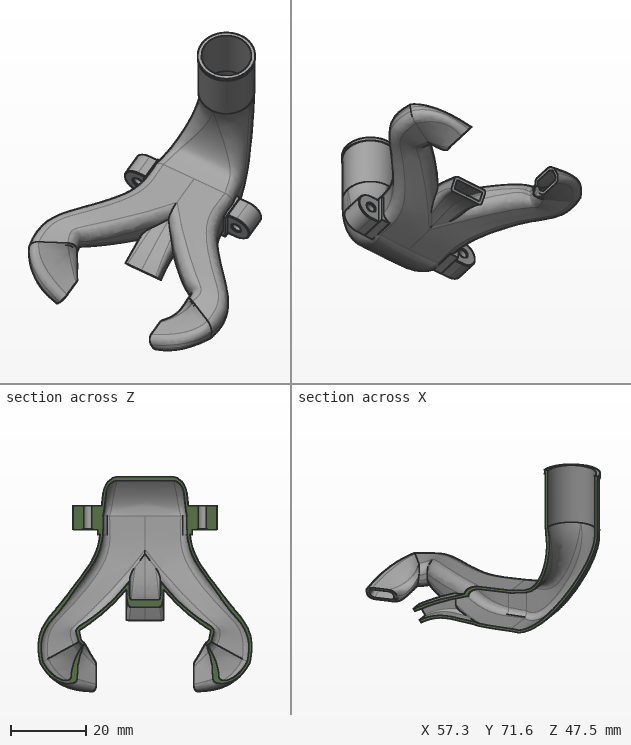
import cadquery as cq


WALL = 0.85
SMALLEST_CORNER = 0.35

HALF_BLOCK = 143.2

PIPE_DIAMETER = 15.0
PIPE_RADIUS = PIPE_DIAMETER / 2
PIPE_CORNER = 7.45
PIPE_BOTTOM = 30.4
PIPE_TOP = 46.3
LIP_DIAMETER = 15.3
LIP_HEIGHT = 1.1

BODY_Y = -17.2
BODY_TOP = 11.5
BODY_HALF_WIDTH = 11.95
BODY_CORNER = 2.5

LUG_RADIUS = 4.0
LUG_X = 15.2
LUG_Z = 4.1
LUG_BACK_Y = -14.5
LUG_LENGTH = 6.45
LUG_INNER_X = 10
LUG_EDGE_CHAMFER = 0.2
LUG_HOLE_DIAMETER = 2.5
LUG_HOLE_MOUTH_DIAMETER = 3.1
MOUTH_ANGLE = 45
LUG_WEB_X = 12.6
LUG_WEB_REACH = 1.3
LUG_WEB_HEIGHT = 8.45

BODY_SECTION = (
    (BODY_HALF_WIDTH, BODY_Y, BODY_TOP / 2),
    (-BODY_HALF_WIDTH, BODY_Y, BODY_TOP / 2),
    BODY_TOP,
    BODY_CORNER,
    (0, 0, 1),
)
BEND_SECTIONS = [
    ((PIPE_RADIUS, 0, PIPE_BOTTOM), (-PIPE_RADIUS, 0, PIPE_BOTTOM), PIPE_DIAMETER, PIPE_CORNER, (0, -1, 0)),
    ((8.0, -1.85, 20.0), (-8.0, -1.85, 20.0), 11.45, 5, (0, -1, 0.14)),
    ((10.25, -7.3, 10.75), (-10.25, -7.3, 10.75), 9.0, 3.6, (0, -0.6, 0.8)),
    ((11.3, -12.7, 6.45), (-11.3, -12.7, 6.45), 11.3, 2.85, (0, -0.1, 1)),
    BODY_SECTION,
]
ARM_SECTIONS = [
    BODY_SECTION,
    ((12.3, -24.35, 5.9), (-4.3, -24.35, 5.9), 11.3, 2.85, (0, 0, 1)),
    ((15.5, -31.2, 6.45), (2.85, -34.4, 6.45), 10.2, 3.2, (0, 0, 1)),
    ((21.5, -38.5, 7.3), (11.8, -44.25, 7.3), 8.2, 3.2, (0, 0, 1)),
    ((27.2, -45.8, 7.1), (16.7, -47.6, 7.1), 7.15, 2.85, (0, 0, 1)),
    ((28.1, -56.2, 6.3), (16.9, -50.1, 5.95), 6.45, 2.5, (0.2, 0, 1)),
]
TIP_SECTIONS = [
    ARM_SECTIONS[-1],
    ((22.7, -61.6, 4.45), (15.2, -52.7, 1.85), 5.45, 2.15, (0.4, 0, 1)),
    ((14.25, -63.95, 0.9), (14.25, -55.35, 0.9), 4.95, 2.0, (-3.8, 0, 5.8)),
]
NOZZLE_HALF_WIDTH = 4.95
NOZZLE_TIP_HALF_WIDTH = 5
NOZZLE_SECTIONS = [
    ((NOZZLE_HALF_WIDTH, -23.6, 5.45), (-NOZZLE_HALF_WIDTH, -23.6, 5.45), 10.3, 2.85, (0, 0, 1)),
    ((NOZZLE_HALF_WIDTH, -31.5, 4.9), (-NOZZLE_HALF_WIDTH, -31.5, 4.9), 7.5, 2.15, (0, 0, 1)),
    ((NOZZLE_HALF_WIDTH, -37.95, 3.7), (-NOZZLE_HALF_WIDTH, -37.95, 3.7), 5, 1.4, (0, -0.3, 1)),
    ((NOZZLE_TIP_HALF_WIDTH, -43.95, 1.2), (-NOZZLE_TIP_HALF_WIDTH, -43.95, 1.2), 4.3, 0.7, (0, -2.8, 4.7)),
]


def duct_section(section, inset):
    """Rounded rectangle spanning two side points, shrunk by inset all round."""
    start, end, height, corner, up = section
    start = cq.Vector(start)
    across = cq.Vector(end) - start
    plane = cq.Plane(start + across * 0.5, across, across.cross(cq.Vector(up)))
    sketch = cq.Sketch().rect(across.Length - 2 * inset, height - 2 * inset)
    sketch = sketch.vertices().fillet(max(corner - inset, SMALLEST_CORNER))
    return sketch.moved(cq.Location(plane))


def duct(sections, inset=0):
    """Smooth loft through sections; with an inset, the passage inside it."""
    return cq.Workplane().placeSketch(*[duct_section(s, inset) for s in sections]).loft()


def pipe(radius):
    return cq.Workplane().workplane(offset=PIPE_BOTTOM).circle(radius).extrude(PIPE_TOP - PIPE_BOTTOM)


def right_half(shape):
    block = cq.Workplane(origin=(HALF_BLOCK / 2, 0, 0)).box(HALF_BLOCK, HALF_BLOCK * 2, HALF_BLOCK * 2)
    return shape.intersect(block)


def lip():
    base = cq.Workplane().workplane(offset=PIPE_TOP - LIP_HEIGHT)
    return base.circle(LIP_DIAMETER / 2).extrude(LIP_HEIGHT)


def neck():
    """Hollow pipe and the bend below it."""
    outside = pipe(PIPE_RADIUS).union(lip()).union(duct(BEND_SECTIONS))
    return outside.cut(pipe(PIPE_RADIUS - WALL)).cut(duct(BEND_SECTIONS, WALL))


def lug():
    """Round-ended lug with a web in front of its root."""
    face = cq.Workplane("XZ", origin=(0, LUG_BACK_Y, 0))
    body = (
        face.moveTo(LUG_INNER_X, LUG_Z - LUG_RADIUS)
        .lineTo(LUG_X, LUG_Z - LUG_RADIUS)
        .threePointArc((LUG_X + LUG_RADIUS, LUG_Z), (LUG_X, LUG_Z + LUG_RADIUS))
        .lineTo(LUG_INNER_X, LUG_Z + LUG_RADIUS)
        .close()
        .extrude(LUG_LENGTH)
        .faces("<Y").chamfer(LUG_EDGE_CHAMFER)
    )
    web_length = LUG_LENGTH + LUG_WEB_REACH
    web = (
        face.moveTo(LUG_INNER_X, 0)
        .rect(LUG_WEB_X - LUG_INNER_X, LUG_WEB_HEIGHT, centered=False)
        .extrude(web_length)
    )
    return body.union(web)


def lug_hole():
    """Through hole with a countersunk mouth on the front face."""
    mouth_depth = (LUG_HOLE_MOUTH_DIAMETER - LUG_HOLE_DIAMETER) / 2
    front_y = LUG_BACK_Y - LUG_LENGTH
    hole = cq.Workplane("XZ", origin=(LUG_X, LUG_BACK_Y, LUG_Z)).circle(LUG_HOLE_DIAMETER / 2)
    mouth = cq.Workplane("XZ", origin=(LUG_X, front_y, LUG_Z)).circle(LUG_HOLE_MOUTH_DIAMETER / 2)
    return hole.extrude(LUG_LENGTH).union(mouth.extrude(-mouth_depth, taper=MOUTH_ANGLE))


def right_branch():
    """Hollow right arm with its tip, the right half of the middle nozzle and the right lug."""
    arm_passage = right_half(duct(ARM_SECTIONS, WALL))
    nozzle_passage = right_half(duct(NOZZLE_SECTIONS, WALL))
    tip = duct(TIP_SECTIONS).cut(duct(TIP_SECTIONS, WALL))
    drilled_lug = lug().cut(lug_hole()).cut(duct(BEND_SECTIONS)).cut(arm_passage)

    branch = right_half(duct(ARM_SECTIONS)).union(right_half(duct(NOZZLE_SECTIONS)))
    branch = branch.cut(arm_passage, clean=False).cut(nozzle_passage, clean=False)
    return branch.union(tip, clean=False).union(drilled_lug, clean=False)


branch = right_branch()
branches = branch.union(branch.mirror("YZ"), clean=False)
result = branches.union(neck(), clean=False)